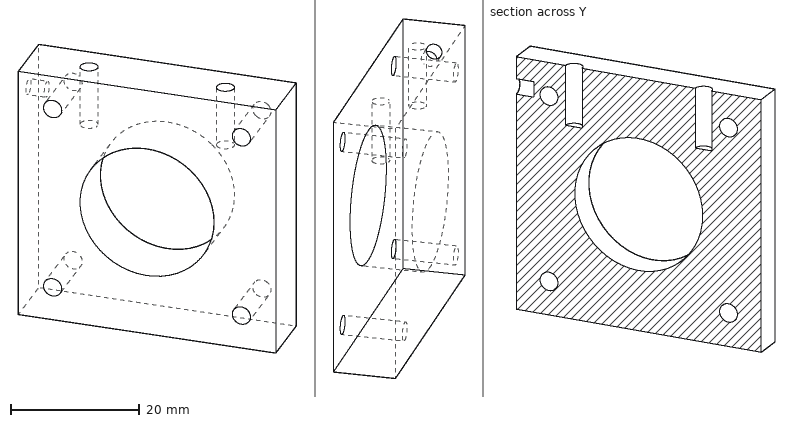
import cadquery as cq

side = 42.3
thickness = 10.0
half_side = side / 2
back_face_origin = (0, thickness / 2, 0)

bore_diameter = 22.0
bolt_diameter = 3.0
bolt_spacing = 31.0

top_hole_diameter = 2.8
top_hole_spacing = 22.4
top_hole_depth = 10.0

side_hole_diameter = 2.5
side_hole_from_top = 5.0
side_hole_depth = 3.0


def make_plate():
    return cq.Workplane("XY").box(side, thickness, side)


def cut_bore(body):
    bore = cq.Workplane("XZ", origin=back_face_origin).circle(bore_diameter / 2).extrude(thickness)
    return body.cut(bore)


def cut_bolt_holes(body):
    holes = (
        cq.Workplane("XZ", origin=back_face_origin)
        .rect(bolt_spacing, bolt_spacing, forConstruction=True)
        .vertices()
        .circle(bolt_diameter / 2)
        .extrude(thickness)
    )
    return body.cut(holes)


def cut_top_holes(body):
    """Pair of flat-bottomed holes, mid-thickness, running down from the top face."""
    half_spacing = top_hole_spacing / 2
    holes = (
        cq.Workplane("XY", origin=(0, 0, half_side))
        .pushPoints([(-half_spacing, 0), (half_spacing, 0)])
        .circle(top_hole_diameter / 2)
        .extrude(-top_hole_depth)
    )
    return body.cut(holes)


def cut_side_hole(body):
    """Flat-bottomed hole, mid-thickness, running in +X and stopping short of the bolt hole."""
    hole = (
        cq.Workplane("YZ", origin=(-half_side, 0, half_side - side_hole_from_top))
        .circle(side_hole_diameter / 2)
        .extrude(side_hole_depth)
    )
    return body.cut(hole)


result = make_plate()
result = cut_bore(result)
result = cut_bolt_holes(result)
result = cut_top_holes(result)
result = cut_side_hole(result)